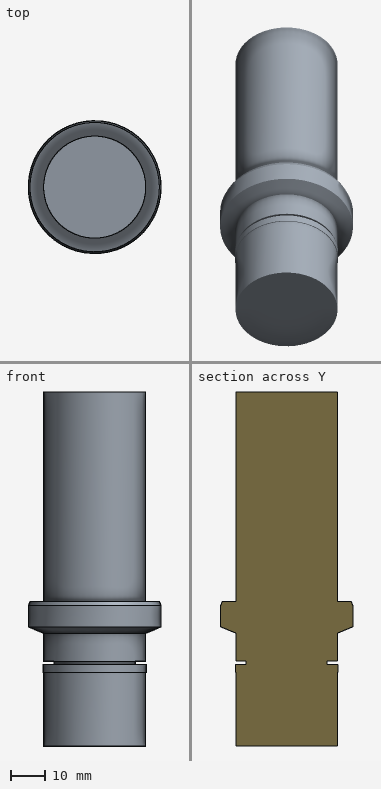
import cadquery as cq

total_height = 104.0
shaft_radius = 15.0

collar_radius = 19.5
collar_bottom = 33.2
collar_rim_bottom = 35.0
collar_top = 42.5
collar_chamfer_width = 0.5
collar_chamfer_height = 1.2

groove_radius = 12.0
groove_top = 25.0
groove_bottom = 24.0
band_radius = 15.2
band_bottom = 21.7

half_section = [
    (0, 0),
    (shaft_radius, 0),
    (shaft_radius, band_bottom),
    (band_radius, band_bottom),
    (band_radius, groove_bottom),
    (groove_radius, groove_bottom),
    (groove_radius, groove_top),
    (shaft_radius, groove_top),
    (shaft_radius, collar_bottom),
    (collar_radius, collar_rim_bottom),
    (collar_radius, collar_top - collar_chamfer_height),
    (collar_radius - collar_chamfer_width, collar_top),
    (shaft_radius, collar_top),
    (shaft_radius, total_height),
    (0, total_height),
]

result = cq.Workplane("XZ").polyline(half_section).close().revolve(360, (0, 0, 0), (0, 1, 0))